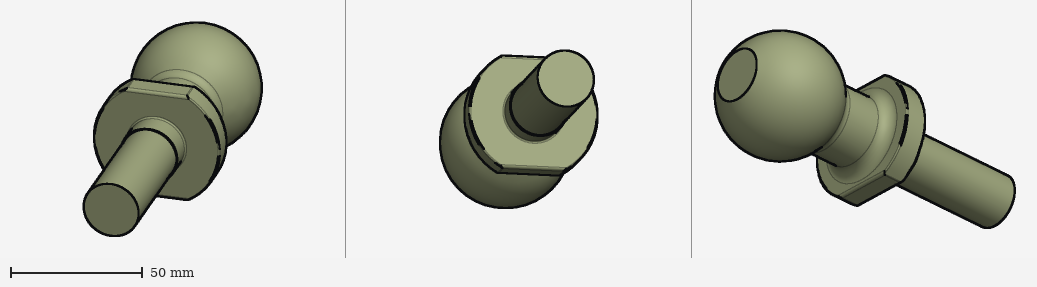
import cadquery as cq
import math

total_length = 135.0

shank_diameter = 21.9
shoulder_diameter = 22.5
shoulder_length = 10.0
stem_length = 60.0
seat_fillet = 0.7

flange_diameter = 50.0
flange_thickness = 10.0
across_flats = 44.0
flat_edge_fillet = 1.2
rim_fillet = 0.5
corner_fillet = 1.0

ball_diameter = 50.0
ball_center_to_end = 22.5
neck_diameter = 29.0
neck_fillet = 5.0

ball_radius = ball_diameter / 2
neck_radius = neck_diameter / 2
shank_radius = shank_diameter / 2
shoulder_radius = shoulder_diameter / 2
ball_end_y = total_length - stem_length
ball_center_y = ball_end_y - ball_center_to_end


def arc_point(center, radius, angle):
    """Point on a circle, with the angle in radians from the radial direction towards +Y."""
    return (center[0] + radius * math.cos(angle), center[1] + radius * math.sin(angle))


def make_flange():
    """Round plate with two flats; flat edges, round rims and corners have their own roundings."""
    sketch = cq.Workplane("XZ")
    disc = sketch.circle(flange_diameter / 2).extrude(-flange_thickness)
    slab = sketch.rect(flange_diameter, across_flats).extrude(-flange_thickness)
    rounded_outline = disc.intersect(slab).edges("|Y").fillet(corner_fillet)
    rounded_disc = disc.edges("%CIRCLE").fillet(rim_fillet)
    rounded_slab = slab.edges("|X").fillet(flat_edge_fillet)
    return rounded_outline.intersect(rounded_disc).intersect(rounded_slab)


def make_stem():
    """Shank and its slightly wider shoulder, flared by a fillet into the flange seat."""
    flare_radius = shoulder_radius + seat_fillet
    flare_center = (flare_radius, -seat_fillet)
    profile = (
        cq.Workplane("XY")
        .moveTo(0, -stem_length)
        .lineTo(shank_radius, -stem_length)
        .lineTo(shank_radius, -shoulder_length)
        .lineTo(shoulder_radius, -shoulder_length)
        .lineTo(shoulder_radius, -seat_fillet)
        .threePointArc(arc_point(flare_center, seat_fillet, math.radians(135)), (flare_radius, 0))
        .lineTo(flare_radius, flange_thickness / 2)
        .lineTo(0, flange_thickness / 2)
        .close()
    )
    return profile.revolve(360, (0, 0), (0, 1))


def make_ball_and_neck():
    """Neck blended into the flange below and into the flat-topped ball above."""
    blend_radius = neck_radius + neck_fillet
    lower_center = (blend_radius, flange_thickness + neck_fillet)

    blend_angle = math.acos(blend_radius / (ball_radius + neck_fillet))
    upper_center = arc_point((0, ball_center_y), ball_radius + neck_fillet, -blend_angle)
    tangent_point = arc_point((0, ball_center_y), ball_radius, -blend_angle)
    blend_middle = arc_point(upper_center, neck_fillet, math.pi - blend_angle / 2)
    end_flat_radius = math.sqrt(ball_radius**2 - ball_center_to_end**2)

    profile = (
        cq.Workplane("XY")
        .moveTo(0, flange_thickness / 2)
        .lineTo(blend_radius, flange_thickness / 2)
        .lineTo(blend_radius, flange_thickness)
        .threePointArc(
            arc_point(lower_center, neck_fillet, math.radians(225)),
            (neck_radius, lower_center[1]),
        )
        .lineTo(neck_radius, upper_center[1])
        .threePointArc(blend_middle, tangent_point)
        .threePointArc((ball_radius, ball_center_y), (end_flat_radius, ball_end_y))
        .lineTo(0, ball_end_y)
        .close()
    )
    return profile.revolve(360, (0, 0), (0, 1))


result = make_flange().union(make_stem()).union(make_ball_and_neck())